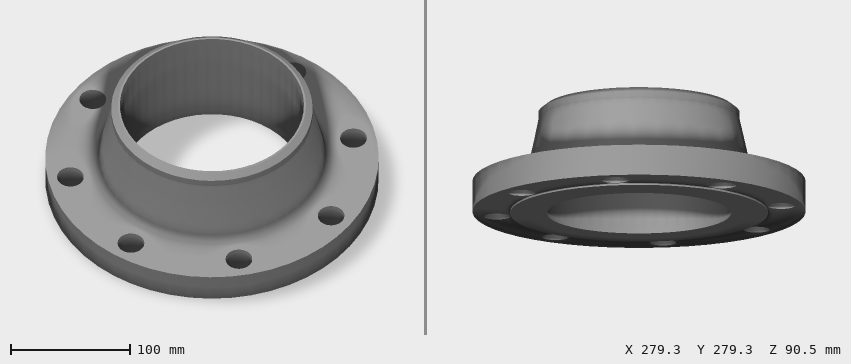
import cadquery as cq

flange_diameter = 279.3
flange_radius = flange_diameter / 2
flange_thickness = 25.7

face_diameter = 216.2
face_height = 1.7

total_height = 90.5
neck_top = total_height - face_height
neck_diameter = 168.7
neck_radius = neck_diameter / 2
neck_length = 10.3
hub_base_diameter = 192.5
hub_base_radius = hub_base_diameter / 2
root_fillet = 6.5

bore_diameter = 154.2
bore_radius = bore_diameter / 2
bevel_land = 1.7
bevel_height = 4.2

bolt_count = 8
bolt_circle_diameter = 241.3
bolt_hole_diameter = 22.3


def make_plate():
    """Flat flange disc with the raised sealing face underneath."""
    disc = cq.Workplane("XY").circle(flange_radius).extrude(flange_thickness)
    face = cq.Workplane("XY").circle(face_diameter / 2).extrude(-face_height)
    return disc.union(face)


def make_hub():
    """Tapered hub ending in a straight, bevelled neck, still solid inside."""
    bevel_start = neck_top - bevel_height
    land_radius = bore_radius + bevel_land
    return (
        cq.Workplane("XZ")
        .moveTo(0, flange_thickness)
        .lineTo(hub_base_radius, flange_thickness)
        .lineTo(neck_radius, neck_top - neck_length)
        .lineTo(neck_radius, bevel_start)
        .lineTo(land_radius, neck_top)
        .lineTo(0, neck_top)
        .close()
        .revolve(360, (0, 0, 0), (0, 1, 0))
    )


def round_hub_root(body):
    """Blend the foot of the hub into the top of the plate."""
    margin = 0.3
    reach = hub_base_radius + margin
    root = cq.selectors.BoxSelector(
        (-reach, -reach, flange_thickness - margin),
        (reach, reach, flange_thickness + margin),
        boundingbox=True,
    )
    return body.edges(root).fillet(root_fillet)


def make_bolt_holes():
    """Cutters for the bolt circle."""
    return (
        cq.Workplane("XY")
        .polarArray(bolt_circle_diameter / 2, 0, 360, bolt_count)
        .circle(bolt_hole_diameter / 2)
        .extrude(flange_thickness)
    )


def make_bore():
    """Cutter for the through bore."""
    return cq.Workplane("XY", origin=(0, 0, -face_height)).circle(bore_radius).extrude(total_height)


body = round_hub_root(make_plate().union(make_hub()))
result = body.cut(make_bolt_holes()).cut(make_bore())